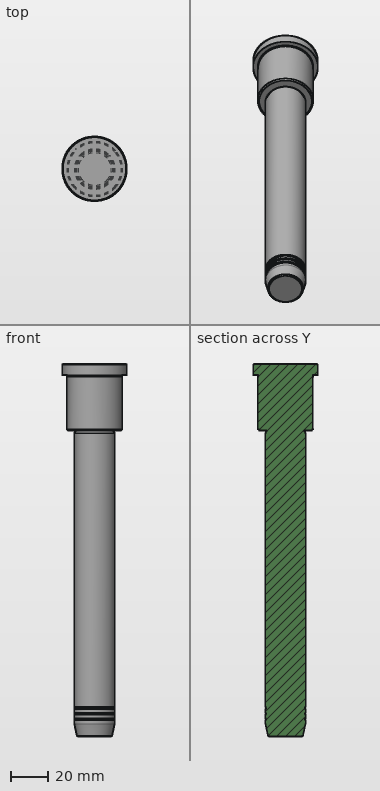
import cadquery as cq

total_length = 201.0
head_diameter = 35.0
head_height = 6.0
head_chamfer = 0.5
collar_diameter = 30.0
collar_length = 30.0
collar_chamfer = 0.8
shaft_diameter = 22.0

head_relief_height = 1.0
head_relief_depth = 0.3
neck_height = 1.5
neck_depth = 0.8

taper_length = 7.0
tip_diameter = 18.9
tip_chamfer = 0.6

groove_count = 3
groove_pitch = 3.0
groove_width = 1.2
groove_depth = 0.5
first_groove_height = 9.5

head_bottom = total_length - head_height
collar_bottom = head_bottom - collar_length


def cylinder(diameter, bottom, top):
    """Solid cylinder on the Z axis between two heights."""
    return cq.Workplane("XY").workplane(offset=bottom).circle(diameter / 2).extrude(top - bottom)


def vee_ring_cut(diameter, depth, bottom, width):
    """Ring of triangular section to remove from a cylinder of the given diameter."""
    radius = diameter / 2
    section = cq.Workplane("XZ").polyline(
        [(radius, bottom), (radius - depth, bottom + width / 2), (radius, bottom + width)]
    )
    return section.close().revolve(360, (0, 0, 0), (0, 1, 0))


def make_head():
    return cylinder(head_diameter, head_bottom, total_length).faces(">Z").edges().chamfer(head_chamfer)


def make_collar():
    collar = cylinder(collar_diameter, collar_bottom, head_bottom)
    collar = collar.faces("<Z").edges().chamfer(collar_chamfer)
    relief_bottom = head_bottom - head_relief_height
    return collar.cut(vee_ring_cut(collar_diameter, head_relief_depth, relief_bottom, head_relief_height))


def make_tip():
    tip = (
        cq.Workplane("XY")
        .circle(tip_diameter / 2)
        .workplane(offset=taper_length)
        .circle(shaft_diameter / 2)
        .loft(ruled=True)
    )
    return tip.faces("<Z").edges().chamfer(tip_chamfer)


def make_shaft():
    shaft = cylinder(shaft_diameter, taper_length, collar_bottom)
    shaft = shaft.faces(">Z").chamfer(neck_height, neck_depth)
    for index in range(groove_count):
        groove_bottom = first_groove_height + index * groove_pitch - groove_width / 2
        shaft = shaft.cut(vee_ring_cut(shaft_diameter, groove_depth, groove_bottom, groove_width))
    return shaft


result = make_tip().union(make_shaft()).union(make_collar()).union(make_head())